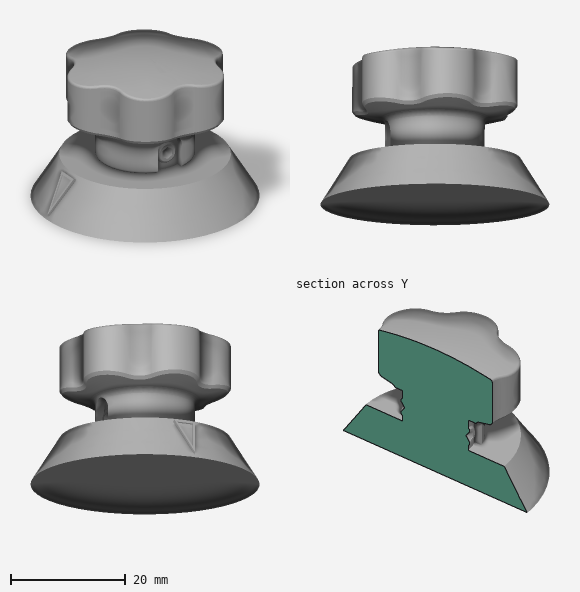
import cadquery as cq
import math

TOTAL_DEPTH = 40.05
TOTAL_HEIGHT = 27.0

SKIRT_BOTTOM_RADIUS = 40.0 / 2
SKIRT_TOP_RADIUS = 30.0 / 2
SKIRT_HEIGHT = 8.0

NECK_RADIUS = 8.75
NECK_FOOT_FILLET = 0.5
NECK_HEAD_FILLET = 1.0

LOBE_COUNT = 6
LOBE_TIP_RADIUS = SKIRT_TOP_RADIUS
LOBE_RADIUS = 5.33
VALLEY_RADIUS = 4.13
CROWN_RADIUS = 60.1
UNDERSIDE_RADIUS = 50.08
UNDERSIDE_HEIGHT = 14.25
GRIP_TOP_FILLET = 0.5
GRIP_BOTTOM_CHAMFER = 0.5

RECESS_WIDTH = 5.0
RECESS_TOP = 14.6
RECESS_FLOOR_DIAMETER = 14.4
SCREW_DIAMETER = 4.0
SCREW_HEIGHT = 11.0
SCREW_CHAMFER = 0.4
SCREW_FACE_DISTANCE = 7.5
HEXAGON_SIDES = 6
SOCKET_WIDTH = 2.0
SOCKET_DEPTH = 0.8

POINTER_WIDTH = 4.0
POINTER_LENGTH = 8.0
POINTER_SIDE_RIM = 0.375
POINTER_TOP_RIM = 0.5
POINTER_RISE = 0.5
POINTER_POCKET_DEPTH = 0.25
POINTER_ROOT = 0.4


def polar(radius, angle):
    """Point at a radius and an angle in degrees from +X."""
    return (radius * math.cos(math.radians(angle)), radius * math.sin(math.radians(angle)))


def ball(radius, center_height):
    return cq.Workplane("XY").sphere(radius).translate((0, 0, center_height))


def lobed_outline():
    """Convex lobes joined tangentially by concave valleys, with lobes on +Y and -Y."""
    half_pitch = 180 / LOBE_COUNT
    lobe_center = LOBE_TIP_RADIUS - LOBE_RADIUS
    lobe_along, lobe_across = polar(lobe_center, half_pitch)
    center_gap = LOBE_RADIUS + VALLEY_RADIUS
    valley_center = lobe_along + math.sqrt(center_gap**2 - lobe_across**2)
    valley_floor = valley_center - VALLEY_RADIUS

    share = VALLEY_RADIUS / center_gap
    joint_along = valley_center + share * (lobe_along - valley_center)
    joint_across = share * lobe_across
    joint_radius = math.hypot(joint_along, joint_across)
    joint_angle = math.degrees(math.atan2(joint_across, joint_along))

    outline = cq.Workplane("XY").moveTo(*polar(joint_radius, -joint_angle))
    for index in range(LOBE_COUNT):
        valley = index * 2 * half_pitch
        next_valley = valley + 2 * half_pitch
        outline = outline.threePointArc(
            polar(valley_floor, valley), polar(joint_radius, valley + joint_angle)
        )
        outline = outline.threePointArc(
            polar(LOBE_TIP_RADIUS, valley + half_pitch), polar(joint_radius, next_valley - joint_angle)
        )
    return outline.close()


def make_grip():
    grip = lobed_outline().extrude(TOTAL_HEIGHT)
    grip = grip.intersect(ball(CROWN_RADIUS, TOTAL_HEIGHT - CROWN_RADIUS))
    grip = grip.intersect(ball(UNDERSIDE_RADIUS, UNDERSIDE_HEIGHT + UNDERSIDE_RADIUS))
    grip = grip.faces(">Z").edges().fillet(GRIP_TOP_FILLET)
    return grip.faces("<Z").edges().chamfer(GRIP_BOTTOM_CHAMFER)


def add_neck(grip):
    """Join the neck to the grip, blending it into the underside and rounding its foot."""
    mid_grip = (UNDERSIDE_HEIGHT + TOTAL_HEIGHT) / 2
    neck_base = cq.Workplane("XY").workplane(offset=SKIRT_HEIGHT)
    neck = neck_base.circle(NECK_RADIUS).extrude(mid_grip - SKIRT_HEIGHT)
    knob = grip.union(neck)
    reach = NECK_RADIUS + NECK_HEAD_FILLET
    around_neck = cq.selectors.BoxSelector(
        (-reach, -reach, UNDERSIDE_HEIGHT), (reach, reach, mid_grip), boundingbox=True
    )
    knob = knob.edges(around_neck).edges("%CIRCLE").fillet(NECK_HEAD_FILLET)
    return knob.faces("<Z").edges().fillet(NECK_FOOT_FILLET)


def make_recess():
    """Cutter for the -X recess: an arched slot that stops at a concentric cylindrical floor."""
    half_width = RECESS_WIDTH / 2
    arch_center = RECESS_TOP - half_width
    cutter = (
        cq.Workplane("YZ")
        .moveTo(-half_width, SKIRT_HEIGHT)
        .lineTo(half_width, SKIRT_HEIGHT)
        .lineTo(half_width, arch_center)
        .threePointArc((0, RECESS_TOP), (-half_width, arch_center))
        .close()
        .extrude(-LOBE_TIP_RADIUS)
    )
    core = cq.Workplane("XY").circle(RECESS_FLOOR_DIAMETER / 2).extrude(TOTAL_HEIGHT)
    return cutter.cut(core)


def screw_end_plane():
    """Plane of the exposed screw face, pointing outward toward -X."""
    return cq.Plane(origin=(-SCREW_FACE_DISTANCE, 0, SCREW_HEIGHT), xDir=(0, 0, 1), normal=(-1, 0, 0))


def make_screw():
    """Set screw on the -X side with a chamfered end."""
    screw = cq.Workplane(screw_end_plane()).circle(SCREW_DIAMETER / 2).extrude(-SCREW_FACE_DISTANCE)
    return screw.faces("<X").chamfer(SCREW_CHAMFER)


def make_socket():
    """Cutter for the hexagonal screw socket, which narrows to a point as a cone."""
    plane = screw_end_plane()
    socket_corners = SOCKET_WIDTH / math.cos(math.pi / HEXAGON_SIDES)
    hexagon = cq.Workplane(plane).polygon(HEXAGON_SIDES, socket_corners).extrude(-SOCKET_DEPTH)
    cone = cq.Solid.makeCone(socket_corners / 2, 0, SOCKET_DEPTH, pnt=plane.origin, dir=-plane.zDir)
    return hexagon.intersect(cq.Workplane(cone))


def make_skirt():
    return (
        cq.Workplane("XZ")
        .polyline([(0, 0), (SKIRT_BOTTOM_RADIUS, 0), (SKIRT_TOP_RADIUS, SKIRT_HEIGHT), (0, SKIRT_HEIGHT)])
        .close()
        .revolve(360, (0, 0), (0, 1))
    )


def make_pointer():
    """Triangular pointer standing on the -Y generator of the skirt, tip downward."""
    slope_run = SKIRT_BOTTOM_RADIUS - SKIRT_TOP_RADIUS
    slope_length = math.hypot(slope_run, SKIRT_HEIGHT)
    overhang = TOTAL_DEPTH - 2 * SKIRT_BOTTOM_RADIUS
    tip = (POINTER_RISE * SKIRT_HEIGHT - overhang * slope_length) / slope_run

    face_plane = cq.Plane(
        origin=(0, -SKIRT_BOTTOM_RADIUS, 0), xDir=(1, 0, 0), normal=(0, -SKIRT_HEIGHT, slope_run)
    )
    half_angle = math.atan2(POINTER_WIDTH / 2, POINTER_LENGTH)
    inner_tip = POINTER_SIDE_RIM / math.sin(half_angle)
    inner_length = POINTER_LENGTH - POINTER_TOP_RIM - inner_tip

    def triangle(start, length, floor):
        half_width = length * math.tan(half_angle)
        return (
            cq.Workplane(face_plane)
            .workplane(offset=floor)
            .polyline([(0, start), (half_width, start + length), (-half_width, start + length)])
            .close()
            .extrude(POINTER_RISE - floor)
        )

    body = triangle(tip, POINTER_LENGTH, -POINTER_ROOT)
    pocket = triangle(tip + inner_tip, inner_length, POINTER_RISE - POINTER_POCKET_DEPTH)
    return body.cut(pocket)


knob = add_neck(make_grip())
for side_angle in (0, 180):
    recess, screw, socket = (
        tool.rotate((0, 0, 0), (0, 0, 1), side_angle) for tool in (make_recess(), make_screw(), make_socket())
    )
    knob = knob.cut(recess).union(screw).cut(socket)

result = knob.union(make_skirt()).union(make_pointer())